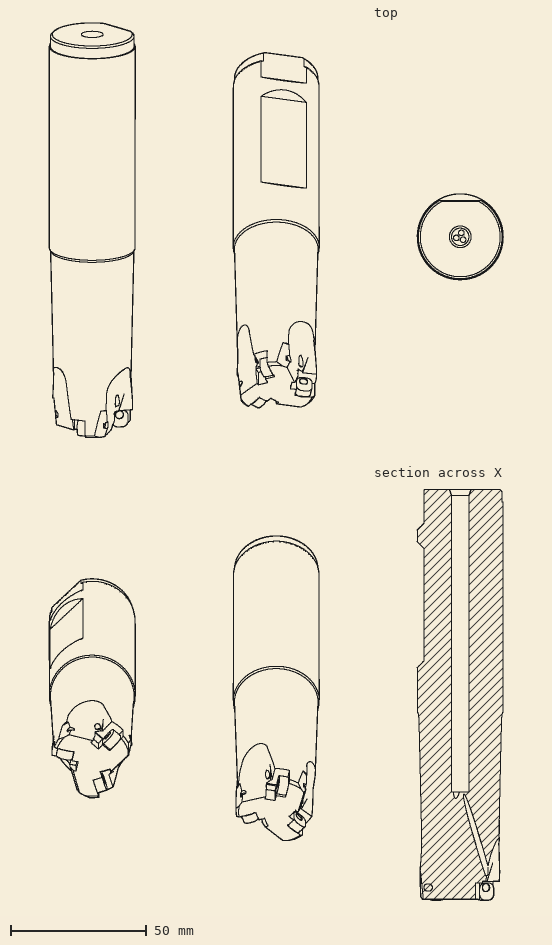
import cadquery as cq
import math


TOOTH_COUNT = 3
TOOTH_PITCH = 360 / TOOTH_COUNT
FIRST_TOOTH_ANGLE = -62.5

TOTAL_LENGTH = 151.6
BODY_BOTTOM = 0.3
NECK_TOP = 68.4
SHANK_BOTTOM = 69.3
COLLAR_LENGTH = 4.6
COLLAR_BOTTOM = TOTAL_LENGTH - COLLAR_LENGTH

SHANK_RADIUS = 31.75 / 2
COLLAR_RADIUS = 15.45
NECK_TOP_RADIUS = 15.45
NECK_BOTTOM_RADIUS = 14.4
NOSE_RADIUS = 14.9
END_CHAMFER = 0.7
NOSE_CHAMFER = 1.0

NOSE_RINGS = [
    (NECK_BOTTOM_RADIUS, 21.7),
    (14.3, 20.8),
    (14.45, 18.0),
    (14.65, 14.4),
    (14.8, 11.6),
    (NOSE_RADIUS, 10.7),
]

FLAT_Y = 13.4
FLAT_CHAMFER = 0.4
FLAT_DEPTH = SHANK_RADIUS - FLAT_Y
UPPER_FLAT_BOTTOM = TOTAL_LENGTH - 12.5
LOWER_FLAT_TOP = TOTAL_LENGTH - 21.8
LOWER_FLAT_BOTTOM = TOTAL_LENGTH - 63.3

BORE_RADIUS = 3.2
BORE_MOUTH_RADIUS = 4.0
BORE_MOUTH_DEPTH = 2.2
BORE_BOTTOM = 40.0
COOLANT_RADIUS = 1.0
COOLANT_START_RADIUS = 1.5
COOLANT_START_ANGLE = -45
COOLANT_EXIT = (-0.5, -9.6, 11.2)

FLOOR_Y = -8.7
FLOOR_TOP = 16.2
RUNOUT_RADIUS = 10.3
FLOOR_CORNER_RADIUS = 6.0
TOE_HEIGHT = 3.2
TOE_DEPTH = 1.0
WALL_FACE = 3.8
WALL_FACE_HEIGHT = 9.0
WALL_LEAN = 10.0

HEEL_ANGLE = 48.0
HEEL_TOP = 10.7
HEEL_TOP_DISTANCE = 14.2
HEEL_BOTTOM_DISTANCE = 13.2

INSERT_INNER = 7.3
INSERT_OUTER = 13.2
INSERT_HEIGHT = 6.4
INSERT_BACK = -2.0
INSERT_FACE = 1.5
INSERT_CORNER = 2.2
SEAT_TOP = 7.0
GULLET_INNER = 5.0
GULLET_FACE = 5.2
GULLET_TOP = 6.3

SCREW_OUT = 10.0
SCREW_HEIGHT = 4.7
SCREW_RADIUS = 1.25
HEAD_RADIUS = 1.5
HEAD_RECESS = 0.5
SCREW_LENGTH = 9.0
SCREW_HOLE_LENGTH = 12.0

CLEARANCE = 10.0


def around_axis(shape, tooth):
    return shape.rotate((0, 0, 0), (0, 0, 1), tooth * TOOTH_PITCH)


def place_at_front_tooth(shape):
    """Turn a shape built along +X (out) and -Y (ahead) to the front tooth."""
    return shape.rotate((0, 0, 0), (0, 0, 1), FIRST_TOOTH_ANGLE)


def turned_blank():
    profile = (
        cq.Workplane("XZ")
        .moveTo(0, BODY_BOTTOM)
        .lineTo(NOSE_RADIUS - NOSE_CHAMFER, BODY_BOTTOM)
        .lineTo(NOSE_RADIUS, BODY_BOTTOM + NOSE_CHAMFER)
    )
    for radius, height in reversed(NOSE_RINGS):
        profile = profile.lineTo(radius, height)
    return (
        profile
        .lineTo(NECK_TOP_RADIUS, NECK_TOP)
        .lineTo(SHANK_RADIUS, SHANK_BOTTOM)
        .lineTo(SHANK_RADIUS, COLLAR_BOTTOM)
        .lineTo(COLLAR_RADIUS, COLLAR_BOTTOM)
        .lineTo(COLLAR_RADIUS, TOTAL_LENGTH - END_CHAMFER)
        .lineTo(COLLAR_RADIUS - END_CHAMFER, TOTAL_LENGTH)
        .lineTo(0, TOTAL_LENGTH)
        .close()
        .revolve(360, (0, 0, 0), (0, 1, 0))
    )


def shank_flats():
    outer_y = SHANK_RADIUS
    upper = (
        cq.Workplane("YZ")
        .moveTo(FLAT_Y - FLAT_CHAMFER, TOTAL_LENGTH)
        .lineTo(FLAT_Y, TOTAL_LENGTH - FLAT_CHAMFER)
        .lineTo(FLAT_Y, UPPER_FLAT_BOTTOM)
        .lineTo(outer_y, UPPER_FLAT_BOTTOM - FLAT_DEPTH)
        .lineTo(outer_y, TOTAL_LENGTH)
        .close()
        .extrude(SHANK_RADIUS, both=True)
    )
    lower = (
        cq.Workplane("YZ")
        .moveTo(FLAT_Y, LOWER_FLAT_TOP)
        .lineTo(FLAT_Y, LOWER_FLAT_BOTTOM)
        .lineTo(outer_y, LOWER_FLAT_BOTTOM - FLAT_DEPTH)
        .lineTo(outer_y, LOWER_FLAT_TOP + FLAT_DEPTH)
        .close()
        .extrude(SHANK_RADIUS, both=True)
    )
    return upper.union(lower)


def coolant_bore():
    return (
        cq.Workplane("XZ")
        .moveTo(0, BORE_BOTTOM)
        .lineTo(BORE_RADIUS, BORE_BOTTOM)
        .lineTo(BORE_RADIUS, TOTAL_LENGTH - BORE_MOUTH_DEPTH)
        .lineTo(BORE_MOUTH_RADIUS, TOTAL_LENGTH)
        .lineTo(0, TOTAL_LENGTH)
        .close()
        .revolve(360, (0, 0, 0), (0, 1, 0))
    )


def coolant_hole():
    angle = math.radians(COOLANT_START_ANGLE)
    start = cq.Vector(
        COOLANT_START_RADIUS * math.cos(angle),
        COOLANT_START_RADIUS * math.sin(angle),
        BORE_BOTTOM,
    )
    run = cq.Vector(*COOLANT_EXIT) - start
    direction = run.normalized()
    overrun = 2 * COOLANT_RADIUS
    hole = cq.Solid.makeCylinder(
        COOLANT_RADIUS, run.Length + 2 * overrun, start - direction * overrun, direction
    )
    return cq.Workplane(obj=hole)


def flute():
    """Space cleared ahead of the front tooth."""
    outer_y = FLOOR_Y - RUNOUT_RADIUS
    arc_mid = RUNOUT_RADIUS * math.sqrt(0.5)
    side = (
        cq.Workplane("YZ")
        .moveTo(FLOOR_Y + TOE_DEPTH, 0)
        .lineTo(FLOOR_Y, TOE_HEIGHT)
        .lineTo(FLOOR_Y, FLOOR_TOP)
        .threePointArc(
            (outer_y + arc_mid, FLOOR_TOP + arc_mid),
            (outer_y, FLOOR_TOP + RUNOUT_RADIUS),
        )
        .lineTo(outer_y, 0)
        .close()
        .extrude(2 * SHANK_RADIUS, both=True)
    )
    wall_size = TOTAL_LENGTH
    behind_wall = (
        cq.Workplane("XY")
        .box(wall_size, wall_size, wall_size, centered=(True, False, True))
        .rotate((0, 0, 0), (1, 0, 0), WALL_LEAN)
        .translate((0, -WALL_FACE, WALL_FACE_HEIGHT))
    )
    cleared = side.cut(place_at_front_tooth(behind_wall))
    floor_middle = (0, FLOOR_Y, (TOE_HEIGHT + FLOOR_TOP) / 2)
    corner = cq.selectors.NearestToPointSelector(floor_middle)
    return cleared.edges(corner).fillet(FLOOR_CORNER_RADIUS)


def heel_relief():
    outer = HEEL_TOP_DISTANCE + CLEARANCE
    wedge = (
        cq.Workplane("XZ")
        .moveTo(HEEL_BOTTOM_DISTANCE, 0)
        .lineTo(HEEL_TOP_DISTANCE, HEEL_TOP)
        .lineTo(outer, HEEL_TOP)
        .lineTo(outer, 0)
        .close()
        .extrude(CLEARANCE, both=True)
        .rotate((0, 0, 0), (0, 0, 1), HEEL_ANGLE)
    )
    return place_at_front_tooth(wedge)


def insert_seat():
    """Recess that holds the insert, with a deeper gullet ahead of it."""
    seat = (
        cq.Workplane("XY")
        .box(CLEARANCE, GULLET_FACE - INSERT_BACK, SEAT_TOP, centered=False)
        .translate((INSERT_INNER, -GULLET_FACE, 0))
    )
    gullet = (
        cq.Workplane("XY")
        .box(CLEARANCE, GULLET_FACE - INSERT_FACE, GULLET_TOP, centered=False)
        .translate((GULLET_INNER, -GULLET_FACE, 0))
    )
    return place_at_front_tooth(seat.union(gullet))


def screw_rod(length):
    rod = (
        cq.Workplane("XZ", origin=(0, -INSERT_FACE + HEAD_RECESS, 0))
        .center(SCREW_OUT, SCREW_HEIGHT)
        .circle(SCREW_RADIUS)
        .extrude(-length)
    )
    return place_at_front_tooth(rod)


def cutting_insert():
    plate = (
        cq.Workplane("XZ", origin=(0, -INSERT_BACK, 0))
        .moveTo(INSERT_INNER, 0)
        .rect(INSERT_OUTER - INSERT_INNER, INSERT_HEIGHT, centered=False)
        .extrude(INSERT_FACE - INSERT_BACK)
        .edges("|Y")
        .fillet(INSERT_CORNER)
    )
    recess = (
        cq.Workplane("XZ", origin=(0, -INSERT_FACE, 0))
        .center(SCREW_OUT, SCREW_HEIGHT)
        .circle(HEAD_RADIUS)
        .extrude(-HEAD_RECESS)
    )
    return place_at_front_tooth(plate.cut(recess)).union(screw_rod(SCREW_LENGTH))


body = turned_blank().cut(shank_flats()).cut(coolant_bore())
tooth_cuts = [flute(), heel_relief(), insert_seat(), coolant_hole(), screw_rod(SCREW_HOLE_LENGTH)]
for tooth in range(TOOTH_COUNT):
    for cut_shape in tooth_cuts:
        body = body.cut(around_axis(cut_shape, tooth))

inserts = [around_axis(cutting_insert(), tooth) for tooth in range(TOOTH_COUNT)]

result = cq.Compound.makeCompound([body.val(), *[insert.val() for insert in inserts]])